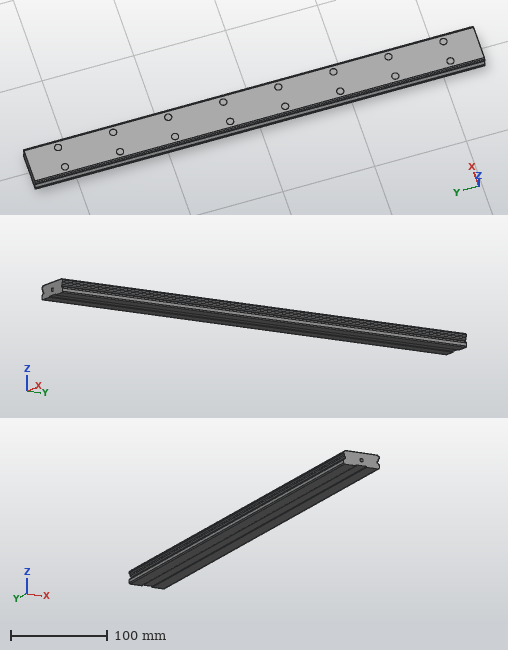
import cadquery as cq

length = 490.0
width = 42.0
height = 15.0

foot_chamfer = 1.2
foot_top = 4.5
waist_half_width = 18.5
waist_bottom = 6.7
waist_top = 7.4
flank_half_width = 19.7
flank_bottom = 8.8
flank_top = 10.4
shoulder_bottom = 11.6
shoulder_top = 13.2
bevel_break_half_width = 19.8
bevel_break_height = 13.8
top_face_half_width = 18.7

relief_width = 12.0
relief_depth = 1.0

hole_diameter = 7.5
hole_depth = 0.2
hole_pitch = 60.0
holes_per_row = 8
row_spacing = 24.0

end_hole_diameter = 3.5
end_hole_height = 7.0
end_hole_depth = 10.0


def rail_body():
    """Rail cross-section, symmetric about X = 0, extruded along Y."""
    half_width = width / 2
    right_side = [
        (relief_width / 2, relief_depth),
        (relief_width / 2, 0),
        (half_width - foot_chamfer, 0),
        (half_width, foot_chamfer),
        (half_width, foot_top),
        (waist_half_width, waist_bottom),
        (waist_half_width, waist_top),
        (flank_half_width, flank_bottom),
        (flank_half_width, flank_top),
        (half_width, shoulder_bottom),
        (half_width, shoulder_top),
        (bevel_break_half_width, bevel_break_height),
        (top_face_half_width, height),
    ]
    left_side = [(-x, z) for x, z in reversed(right_side)]
    section = cq.Workplane("XZ").polyline(right_side + left_side).close()
    return section.extrude(length / 2, both=True)


def mounting_holes():
    """Two rows of recesses, centred along the rail."""
    return (
        cq.Workplane("XY", origin=(0, 0, height - hole_depth))
        .rarray(row_spacing, hole_pitch, 2, holes_per_row)
        .circle(hole_diameter / 2)
        .extrude(hole_depth)
    )


def end_hole():
    """Blind hole running inward from the front end face."""
    return (
        cq.Workplane("XZ", origin=(0, -length / 2, end_hole_height))
        .circle(end_hole_diameter / 2)
        .extrude(-end_hole_depth)
    )


result = rail_body().cut(mounting_holes()).cut(end_hole())